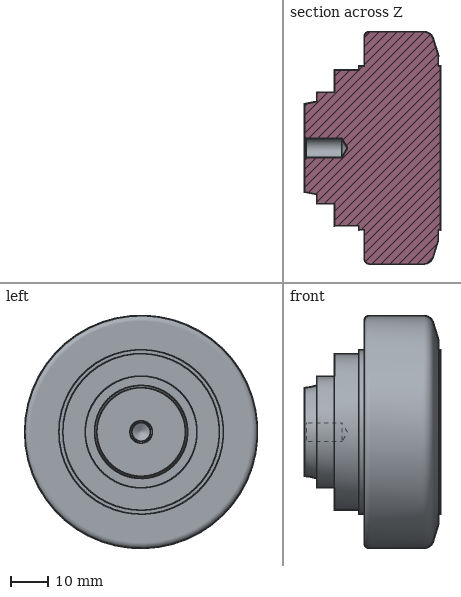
import cadquery as cq
import math

nose_end = 3.25
small_step_end = 8.0
large_step_end = 14.5
wheel_start = 16.0
wheel_end = 36.0
overall_length = 36.5

nose_tip_radius = 11.9
nose_base_radius = 12.5
small_step_radius = 15.0
large_step_radius = 21.0
hub_radius = 22.05
wheel_radius = 31.25

near_edge_round = 1.5
far_edge_round = 2.8
far_cone_inner_radius = 24.7
far_cone_angle = math.radians(17.0)

hole_radius = 2.5
hole_chamfer = 0.5
hole_depth = 10.0
drill_half_angle = math.radians(59.0)


def revolve_about_x(profile):
    return profile.close().revolve(360, (0, 0, 0), (1, 0, 0))


def arc_point(center, radius, angle):
    """Point on an arc; the angle is measured from +X towards the rim."""
    return (center[0] + radius * math.cos(angle), center[1] + radius * math.sin(angle))


def make_hub():
    """Tapered nose, two steps and the hub that passes through the wheel."""
    profile = (
        cq.Workplane("XY")
        .lineTo(0, nose_tip_radius)
        .lineTo(nose_end, nose_base_radius)
        .lineTo(nose_end, small_step_radius)
        .lineTo(small_step_end, small_step_radius)
        .lineTo(small_step_end, large_step_radius)
        .lineTo(large_step_end, large_step_radius)
        .lineTo(large_step_end, hub_radius)
        .lineTo(overall_length, hub_radius)
        .lineTo(overall_length, 0)
    )
    return revolve_about_x(profile)


def make_wheel():
    """Wheel disc; its far round is tangent to both the rim and the face cone."""
    near_center = (wheel_start + near_edge_round, wheel_radius - near_edge_round)
    near_middle = arc_point(near_center, near_edge_round, math.radians(135))

    far_center_radius = wheel_radius - far_edge_round
    cone_contact_radius = far_center_radius + far_edge_round * math.sin(far_cone_angle)
    cone_contact_x = wheel_end - (cone_contact_radius - far_cone_inner_radius) * math.tan(far_cone_angle)
    far_center = (cone_contact_x - far_edge_round * math.cos(far_cone_angle), far_center_radius)
    far_middle = arc_point(far_center, far_edge_round, (far_cone_angle + math.pi / 2) / 2)

    profile = (
        cq.Workplane("XY")
        .moveTo(wheel_start, 0)
        .lineTo(wheel_start, near_center[1])
        .threePointArc(near_middle, (near_center[0], wheel_radius))
        .lineTo(far_center[0], wheel_radius)
        .threePointArc(far_middle, (cone_contact_x, cone_contact_radius))
        .lineTo(wheel_end, far_cone_inner_radius)
        .lineTo(wheel_end, 0)
    )
    return revolve_about_x(profile)


def make_center_hole():
    """Chamfered blind hole that ends in a drill cone."""
    drill_tip_depth = hole_depth + hole_radius / math.tan(drill_half_angle)
    profile = (
        cq.Workplane("XY")
        .lineTo(0, hole_radius + hole_chamfer)
        .lineTo(hole_chamfer, hole_radius)
        .lineTo(hole_depth, hole_radius)
        .lineTo(drill_tip_depth, 0)
    )
    return revolve_about_x(profile)


result = make_hub().union(make_wheel()).cut(make_center_hole())